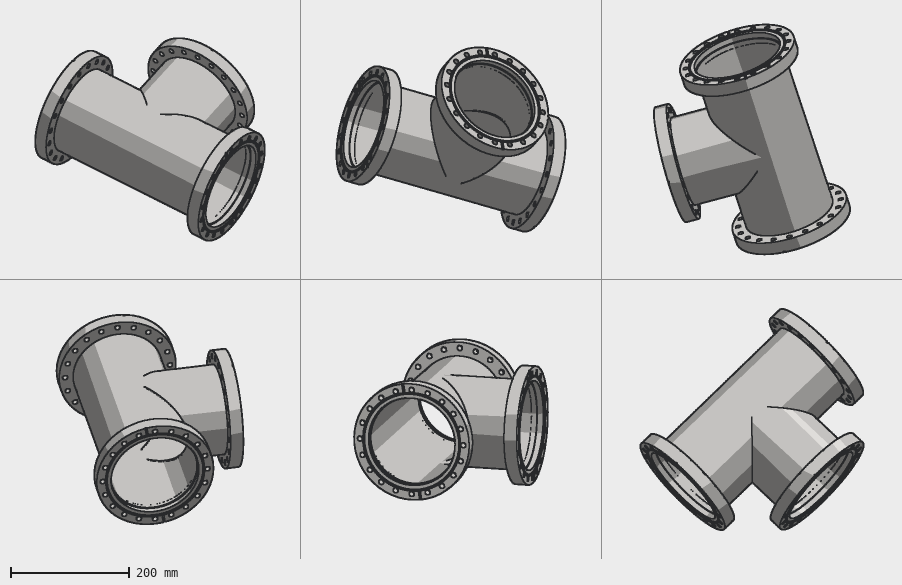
import cadquery as cq
import math

face_distance = 166.7

tube_outer_radius = 77.0
tube_inner_radius = 75.0

flange_diameter = 202.5
flange_radius = flange_diameter / 2
flange_thickness = 22.5
flange_bore_radius = 76.0
tube_end_depth = 12.5

bolt_count = 20
bolt_circle_radius = 90.7
bolt_hole_diameter = 8.7
bolt_pitch_angle = 360 / bolt_count

recess_radius = 85.7
recess_depth = 1.5
knife_radius = 83.0
knife_tip_depth = 0.7

groove_width = 3.0
groove_depth = recess_depth
groove_angle = bolt_pitch_angle / 2
groove_count = 2

arm_angles = [0, 90, 180]

tube_reach = face_distance - tube_end_depth


def make_tee_solid(radius):
    """Two crossing cylinders: the full run along X and the branch along +Y."""
    run = cq.Workplane("YZ").circle(radius).extrude(tube_reach, both=True)
    branch = cq.Workplane("XZ").circle(radius).extrude(-tube_reach)
    return run.union(branch)


def make_tee_tube():
    return make_tee_solid(tube_outer_radius).cut(make_tee_solid(tube_inner_radius))


def make_flange_ring():
    """Turned flange about X: bore, tube socket, and recess with a sloped knife edge."""
    back = face_distance - flange_thickness
    floor = face_distance - recess_depth
    profile = [
        (back, tube_outer_radius),
        (back, flange_radius),
        (face_distance, flange_radius),
        (face_distance, recess_radius),
        (floor, recess_radius),
        (face_distance - knife_tip_depth, knife_radius),
        (floor, knife_radius),
        (floor, flange_bore_radius),
        (tube_reach, flange_bore_radius),
        (tube_reach, tube_outer_radius),
    ]
    return cq.Workplane("XY").polyline(profile).close().revolve(360, (0, 0, 0), (1, 0, 0))


def make_bolt_holes():
    return (
        cq.Workplane("YZ", origin=(face_distance, 0, 0))
        .polarArray(bolt_circle_radius, 0, 360, bolt_count)
        .circle(bolt_hole_diameter / 2)
        .extrude(-flange_thickness)
    )


def make_leak_groove(angle):
    """Slot in the flange face from the recess out through the rim, turned by angle about X."""
    groove_start = math.sqrt(recess_radius**2 - (groove_width / 2) ** 2)
    groove_length = flange_radius - groove_start
    return (
        cq.Workplane("XY", origin=(face_distance, 0, groove_start))
        .rect(2 * groove_depth, groove_width)
        .extrude(groove_length)
        .rotate((0, 0, 0), (1, 0, 0), angle)
    )


def make_flange():
    """Flange on the +X arm."""
    flange = make_flange_ring().cut(make_bolt_holes())
    for i in range(groove_count):
        flange = flange.cut(make_leak_groove(groove_angle + i * 360 / groove_count))
    return flange


tee_tube = make_tee_tube()
flange = make_flange()
flanges = [flange.rotate((0, 0, 0), (0, 0, 1), angle).val() for angle in arm_angles]

result = cq.Compound.makeCompound([tee_tube.val(), *flanges])